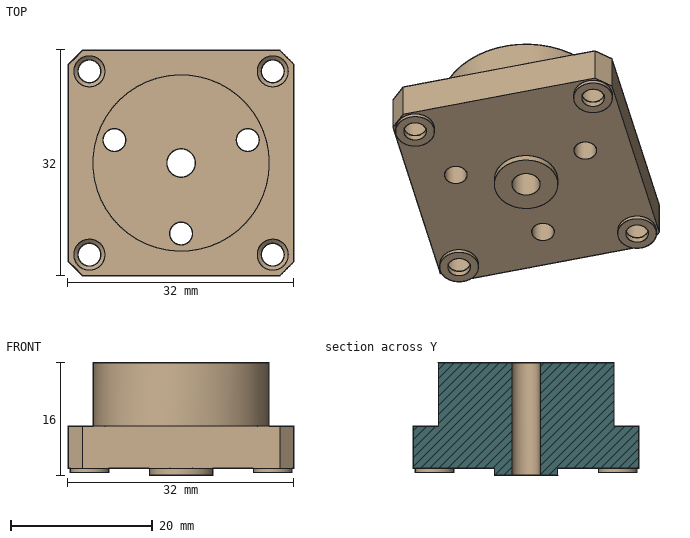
import math

import cadquery as cq

plate_side = 32.0
plate_thickness = 6.0
corner_chamfer = 2.0

hub_diameter = 25.0
hub_height = 9.0
hub_top = plate_thickness + hub_height

centre_pad_diameter = 9.0
centre_pad_height = 1.0
corner_pad_diameter = 5.5
corner_pad_height = 0.6

corner_hole_pitch = 26.0
screw_hole_diameter = 3.2
counterbore_diameter = 4.4
counterbore_depth = 5.0
seat_depth = (counterbore_diameter - screw_hole_diameter) / 2

centre_bore_diameter = 4.0
hub_hole_diameter = 3.2
hub_hole_circle_radius = 10.0
upper_hole_angle = 19.0
hub_hole_angles = (upper_hole_angle, 180 - upper_hole_angle, 270)

corner_points = [
    (x_sign * corner_hole_pitch / 2, y_sign * corner_hole_pitch / 2)
    for x_sign in (-1, 1)
    for y_sign in (-1, 1)
]
hub_hole_points = [
    (
        hub_hole_circle_radius * math.cos(math.radians(angle)),
        hub_hole_circle_radius * math.sin(math.radians(angle)),
    )
    for angle in hub_hole_angles
]


def cylinders(diameter, bottom, top, points):
    """Upright cylinders at the given XY points, spanning bottom to top."""
    return (
        cq.Workplane("XY")
        .workplane(offset=bottom)
        .pushPoints(points)
        .circle(diameter / 2)
        .extrude(top - bottom)
    )


def make_body():
    """Plate with chamfered corners, hub above it and pads below it."""
    plate = (
        cq.Workplane("XY")
        .rect(plate_side, plate_side)
        .extrude(plate_thickness)
        .edges("|Z")
        .chamfer(corner_chamfer)
    )
    hub = cylinders(hub_diameter, plate_thickness, hub_top, [(0, 0)])
    centre_pad = cylinders(centre_pad_diameter, -centre_pad_height, 0, [(0, 0)])
    corner_pads = cylinders(corner_pad_diameter, -corner_pad_height, 0, corner_points)
    return plate.union(hub).union(centre_pad).union(corner_pads)


def make_screw_hole_cutter(x, y):
    """Stepped cutter: screw hole, conical seat and counterbore."""
    screw_radius = screw_hole_diameter / 2
    bore_radius = counterbore_diameter / 2
    bore_bottom = plate_thickness - counterbore_depth
    profile = [
        (0, -corner_pad_height),
        (screw_radius, -corner_pad_height),
        (screw_radius, bore_bottom - seat_depth),
        (bore_radius, bore_bottom),
        (bore_radius, plate_thickness),
        (0, plate_thickness),
    ]
    cutter = cq.Workplane("XZ").polyline(profile).close().revolve(360, (0, 0, 0), (0, 1, 0))
    return cutter.translate((x, y, 0))


def make_hub_holes():
    """Centre bore and the three holes around it, right through the part."""
    centre_bore = cylinders(centre_bore_diameter, -centre_pad_height, hub_top, [(0, 0)])
    outer_holes = cylinders(hub_hole_diameter, 0, hub_top, hub_hole_points)
    return centre_bore.union(outer_holes)


result = make_body().cut(make_hub_holes())
for corner_x, corner_y in corner_points:
    result = result.cut(make_screw_hole_cutter(corner_x, corner_y))